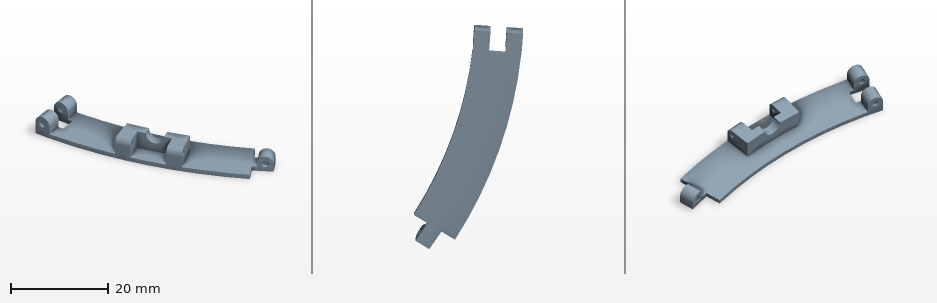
import cadquery as cq
import math

outer_radius = 98.6
strap_width = 10.05
strap_thickness = 1.0
inner_radius = outer_radius - strap_width

hinge_angle = 14.24
hinge_radius = 1.75
hinge_hole_diameter = 1.5
hinge_end_gap = 2.85
knuckle_length = strap_width / 3
left_pin_height = 2.8
right_pin_height = hinge_radius

block_height = 5.0
block_width = 6.0
block_half_angle = 4.25
block_round = 1.5
pocket_depth = 4.0
pocket_half_angle = 2.31
saddle_radius = 2.0
arm_hole_diameter = 1.0
arm_hole_inset = 1.65


def ring_sector(small_radius, large_radius, half_angle, base, top):
    """Ring sector centred on the -Y direction, with radial ends."""
    profile = cq.Workplane("XZ").moveTo(small_radius, base).lineTo(large_radius, base)
    profile = profile.lineTo(large_radius, top).lineTo(small_radius, top).close()
    sector = profile.revolve(2 * half_angle, (0, 0, 0), (0, 1, 0))
    middle = sector.val().Center()
    turn = -90 - math.degrees(math.atan2(middle.y, middle.x))
    return sector.rotate((0, 0, 0), (0, 0, 1), turn)


def at_hinge(body, side):
    """Turn a body from the -Y direction to the left (-1) or right (+1) hinge."""
    return body.rotate((0, 0, 0), (0, 0, 1), side * hinge_angle)


def radial_box(start_radius, length, x_min, x_max, height):
    box = cq.Workplane("XY").box(x_max - x_min, length, height, centered=False)
    return box.translate((x_min, -start_radius - length, 0))


def radial_cylinder(start_radius, length, radius, height):
    plane = cq.Workplane("XZ", origin=(0, -start_radius, height))
    return plane.circle(radius).extrude(length)


def knuckle(start_radius, pin_height, side):
    """Round-topped hinge knuckle with a short foot joining it to the strap."""
    body = radial_box(start_radius, knuckle_length, -hinge_radius, hinge_radius, pin_height)
    body = body.union(radial_cylinder(start_radius, knuckle_length, hinge_radius, pin_height))
    foot_ends = sorted((0, -side * hinge_end_gap))
    body = body.union(radial_box(start_radius, knuckle_length, *foot_ends, strap_thickness))
    return at_hinge(body, side)


def make_strap():
    strap = ring_sector(inner_radius, outer_radius, hinge_angle, 0, strap_thickness)
    for side in (-1, 1):
        end_cut_ends = sorted((-side * hinge_end_gap, side * hinge_end_gap))
        end_cut = radial_box(
            inner_radius - strap_width, 3 * strap_width, *end_cut_ends, strap_thickness
        )
        strap = strap.cut(at_hinge(end_cut, side))
    return strap


def make_block():
    block_inner_radius = outer_radius - block_width
    pocket_inner_radius = outer_radius - pocket_depth
    block = ring_sector(block_inner_radius, outer_radius, block_half_angle, 0, block_height)
    front_top_edge = cq.selectors.NearestToPointSelector((0, -outer_radius, block_height))
    block = block.edges(front_top_edge).fillet(block_round)
    pocket = ring_sector(
        pocket_inner_radius, outer_radius + block_round, pocket_half_angle,
        strap_thickness, block_height,
    )
    saddle = radial_cylinder(block_inner_radius - block_width, 2 * block_width, saddle_radius, block_height)
    block = block.cut(pocket).cut(saddle)
    arm_hole = cq.Workplane(
        "YZ", origin=(0, -outer_radius + arm_hole_inset, block_height - block_round)
    ).circle(arm_hole_diameter / 2).extrude(outer_radius / 2, both=True)
    return block.cut(arm_hole)


result = make_strap().union(make_block())

knuckles = (
    (inner_radius, left_pin_height, -1),
    (outer_radius - knuckle_length, left_pin_height, -1),
    (inner_radius + knuckle_length, right_pin_height, 1),
)
for knuckle_start, knuckle_pin_height, knuckle_side in knuckles:
    result = result.union(knuckle(knuckle_start, knuckle_pin_height, knuckle_side))

for hole_side, hole_height in ((-1, left_pin_height), (1, right_pin_height)):
    pin_hole = radial_cylinder(inner_radius, strap_width, hinge_hole_diameter / 2, hole_height)
    result = result.cut(at_hinge(pin_hole, hole_side))